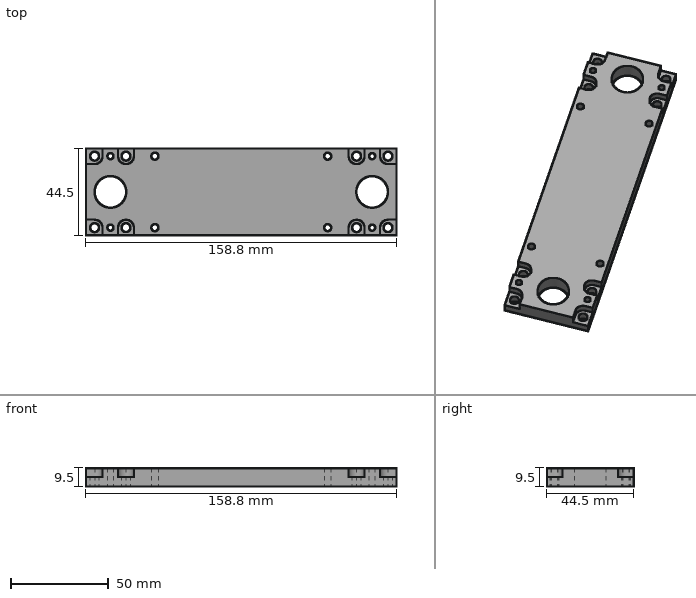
import cadquery as cq

length = 158.8
width = 44.5
thickness = 9.5

corner_screw_inset = 4.5
dowel_inset = 12.5
screw_spacing = 16.0
inner_screw_inset = corner_screw_inset + screw_spacing
mounting_inset = 35.2

edge_inset = 4.0

screw_diameter = 4.5
dowel_diameter = 3.0
mounting_diameter = 3.5
bore_diameter = 16.0

recess_width = 8.1
recess_radius = recess_width / 2
recess_depth = 4.5

hole_y = width / 2 - edge_inset


def mirrored_points(inset, y):
    """Four points placed symmetrically about the plate centre."""
    x = length / 2 - inset
    return [(sx * x, sy * y) for sx in (-1, 1) for sy in (-1, 1)]


def through_holes(points, diameter):
    return cq.Workplane("XY").pushPoints(points).circle(diameter / 2).extrude(thickness)


def edge_recess(center_inset, reaches_end):
    """Round-ended recess at the +X, +Y corner, open to the long edge and optionally to the end."""
    x = length / 2 - center_inset
    outer_x = length / 2 if reaches_end else x + recess_radius
    floor = cq.Workplane("XY").workplane(offset=thickness - recess_depth)
    recess = floor.center(x, hole_y).circle(recess_radius).extrude(recess_depth)
    inner_x = x - recess_radius
    recess = recess.union(
        floor.moveTo(inner_x, hole_y).lineTo(outer_x, hole_y).lineTo(outer_x, width / 2)
        .lineTo(inner_x, width / 2).close().extrude(recess_depth)
    )
    if reaches_end:
        inner_y = hole_y - recess_radius
        recess = recess.union(
            floor.moveTo(x, inner_y).lineTo(outer_x, inner_y).lineTo(outer_x, width / 2)
            .lineTo(x, width / 2).close().extrude(recess_depth)
        )
    return recess


def at_all_corners(shape):
    """Mirror a +X, +Y shape into all four quadrants."""
    both_ends = shape.union(shape.mirror("YZ"))
    return both_ends.union(both_ends.mirror("XZ"))


result = cq.Workplane("XY").box(length, width, thickness, centered=(True, True, False))

result = result.cut(at_all_corners(edge_recess(corner_screw_inset, reaches_end=True)))
result = result.cut(at_all_corners(edge_recess(inner_screw_inset, reaches_end=False)))

for inset, diameter in (
    (corner_screw_inset, screw_diameter),
    (dowel_inset, dowel_diameter),
    (inner_screw_inset, screw_diameter),
    (mounting_inset, mounting_diameter),
):
    result = result.cut(through_holes(mirrored_points(inset, hole_y), diameter))

bore_x = length / 2 - dowel_inset
result = result.cut(through_holes([(-bore_x, 0), (bore_x, 0)], bore_diameter))